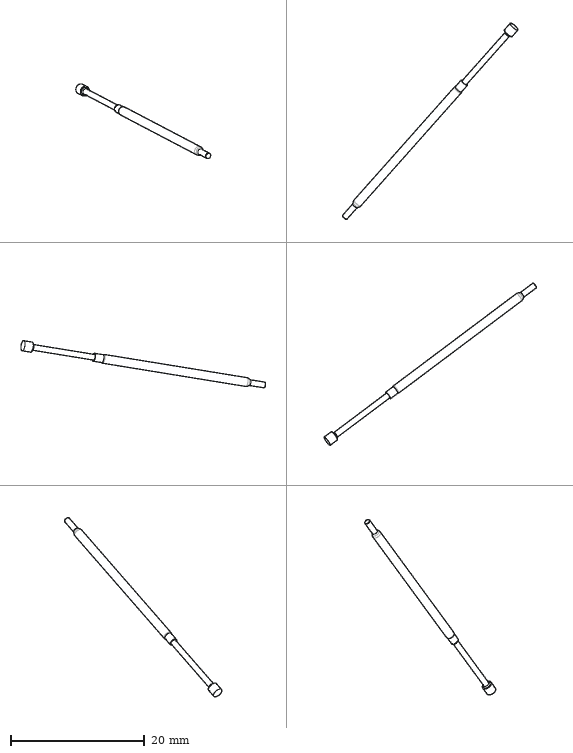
import cadquery as cq

TOTAL_LENGTH = 39.62

HEAD_RADIUS = 1.56 / 2
NECK_RADIUS = 1.16 / 2
PLUNGER_RADIUS = 0.9 / 2
COLLAR_RADIUS = 1.24 / 2
SHOULDER_RADIUS = 1.3 / 2
BARREL_RADIUS = 1.37 / 2
CRIMP_RADIUS = 1.18 / 2
TAIL_RADIUS = 0.9 / 2

HEAD_LENGTH = 1.4
NECK_LENGTH = 0.23
PLUNGER_LENGTH = 10.0
COLLAR_LENGTH = 1.37
BARREL_TAPER_LENGTH = 0.15
ROUND_LENGTH = 0.33
CRIMP_LENGTH = 0.25
TAIL_LENGTH = 2.44

TIP_CHAMFER_LENGTH = 0.08
TIP_CHAMFER_DEPTH = 0.05

HEAD_START = -TOTAL_LENGTH / 2
NECK_START = HEAD_START + HEAD_LENGTH
PLUNGER_START = NECK_START + NECK_LENGTH
COLLAR_START = PLUNGER_START + PLUNGER_LENGTH
BARREL_START = COLLAR_START + COLLAR_LENGTH
TAIL_END = TOTAL_LENGTH / 2
TAIL_START = TAIL_END - TAIL_LENGTH
CRIMP_START = TAIL_START - CRIMP_LENGTH
ROUND_START = CRIMP_START - ROUND_LENGTH


def add_plunger(outline):
    """Flat head, short conical neck and slim rod."""
    return (
        outline.lineTo(HEAD_START, HEAD_RADIUS)
        .lineTo(NECK_START, HEAD_RADIUS)
        .lineTo(NECK_START, NECK_RADIUS)
        .lineTo(PLUNGER_START, PLUNGER_RADIUS)
        .lineTo(COLLAR_START, PLUNGER_RADIUS)
    )


def add_barrel(outline):
    """Collar, tapered shoulder, main tube and its rounded, crimped rear end."""
    return (
        outline.lineTo(COLLAR_START, COLLAR_RADIUS)
        .lineTo(BARREL_START, COLLAR_RADIUS)
        .lineTo(BARREL_START, SHOULDER_RADIUS)
        .lineTo(BARREL_START + BARREL_TAPER_LENGTH, BARREL_RADIUS)
        .lineTo(ROUND_START, BARREL_RADIUS)
        .tangentArcPoint((CRIMP_START, CRIMP_RADIUS), relative=False)
        .lineTo(TAIL_START, TAIL_RADIUS)
    )


def add_tail(outline):
    """Terminal pin with a lightly chamfered tip."""
    return (
        outline.lineTo(TAIL_END - TIP_CHAMFER_LENGTH, TAIL_RADIUS)
        .lineTo(TAIL_END, TAIL_RADIUS - TIP_CHAMFER_DEPTH)
        .lineTo(TAIL_END, 0)
    )


half_section = cq.Workplane("XZ").moveTo(HEAD_START, 0)
half_section = add_plunger(half_section)
half_section = add_barrel(half_section)
half_section = add_tail(half_section)

result = half_section.close().revolve(360, (0, 0, 0), (1, 0, 0))